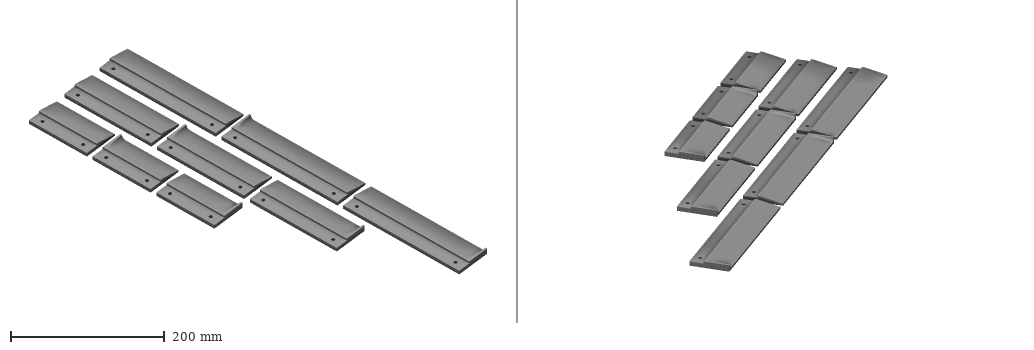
import cadquery as cq
import math

total_length = 620.0
column_gap = 10.0
row_gap = 15.0
long_length = (total_length - 2 * column_gap) / 3
medium_length = 0.75 * long_length
short_length = 0.5 * long_length

depth = 55.0
ledge_depth = 20.0
ledge_height = 6.0
step_height = 3.05
ridge_width = 3.3
back_height = 3.0
ridge_height = ledge_height + step_height
ramp_start = ledge_depth + ridge_width
ramp_angle = math.atan2(ridge_height - back_height, depth - ramp_start)

hole_diameter = 5.5
hole_end_inset = 15.0
hole_front_inset = ledge_depth / 2

cove_radius = 6.0
cove_end_inset = 8.5


def plain_plate(length):
    """Plate with a drilled ledge, a step up to a flat ridge and a ramp falling to the back."""
    profile = [
        (0, 0),
        (depth, 0),
        (depth, back_height),
        (ramp_start, ridge_height),
        (ledge_depth, ridge_height),
        (ledge_depth, ledge_height),
        (0, ledge_height),
    ]
    body = cq.Workplane("YZ").polyline(profile).close().extrude(length)
    hole_places = [(x, hole_front_inset) for x in (hole_end_inset, length - hole_end_inset)]
    holes = cq.Workplane("XY").pushPoints(hole_places).circle(hole_diameter / 2).extrude(ledge_height)
    return body.cut(holes)


def left_end_wall():
    """Wall as high as the ridge, standing on the ramp, with a cove tangent to the ramp."""
    wall_profile = [(ramp_start, ridge_height), (depth, ridge_height), (depth, back_height)]
    wall = cq.Workplane("YZ").polyline(wall_profile).close().extrude(cove_end_inset)
    cove_plane = cq.Plane(
        origin=(cove_end_inset, ramp_start, ridge_height),
        xDir=(1, 0, 0),
        normal=(0, -math.cos(ramp_angle), math.sin(ramp_angle)),
    )
    cove = cq.Workplane(cove_plane).center(0, cove_radius).circle(cove_radius).extrude(depth, both=True)
    return wall.cut(cove)


def left_walled_plate(length):
    """Plate with an end wall on its -X end."""
    return plain_plate(length).union(left_end_wall())


def right_walled_plate(length):
    """Plate with an end wall on its +X end."""
    right_end_wall = left_end_wall().mirror("YZ").translate((length, 0, 0))
    return plain_plate(length).union(right_end_wall)


row_lengths = [short_length, medium_length, long_length]
plate_kinds = [plain_plate, left_walled_plate, right_walled_plate]

plates = []
for row, length in enumerate(row_lengths):
    for column, make_plate in enumerate(plate_kinds):
        place = (column * (length + column_gap), row * (depth + row_gap), 0)
        plates.append(make_plate(length).translate(place).solids().val())

result = cq.Compound.makeCompound(plates)